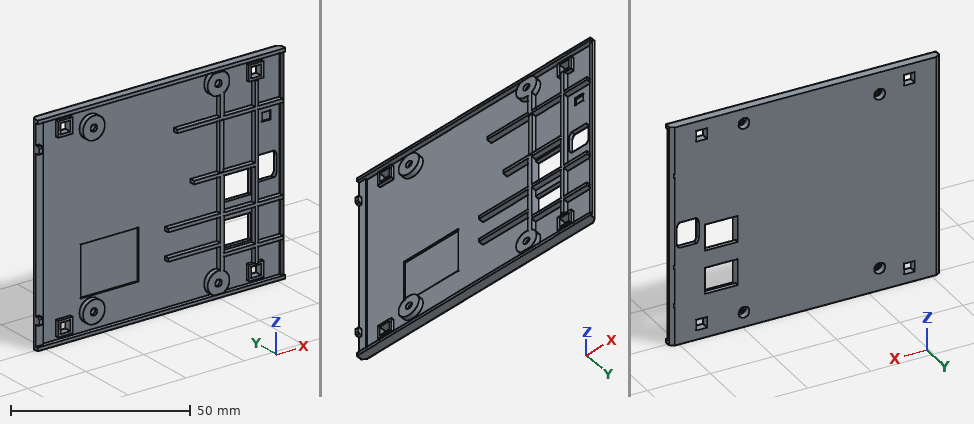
import cadquery as cq
import math

length = 85.5
width = 70.4
floor_height = 1.4
end_wall_height = 2.0
rim_height = 2.8
rib_height = 3.1
frame_height = 2.5
tab_height = 3.6

rim_width = 1.1
left_wall_width = 2.6
right_wall_width = 1.0
end_chamfer_length = 1.4
end_chamfer_depth = 0.85

boss_radius = 3.8
boss_hole_radius = 1.1
screw_head_radius = 1.7
screw_head_depth = 2.1
left_boss_x, left_boss_z = -23.5, 28.05
right_boss_x, right_boss_z = 19.5, 30.45
rim_clearance = 0.25

frame_x, frame_z = 32.9, 30.45
frame_size = 5.05
frame_hole_size = 3.4

thin_rib_width = 1.1
thick_rib_width = 1.4
low_rib_height = 2.7
thick_rib_x = 20.8
thin_rib_x = 32.7
top_rib_z = 19.5
middle_rib_z = 2.4

window_length = 10.35
window_height = 8.4
window_zs = (-3.0, -16.9)

port_x = 37.3
port_length = 7.0
port_height = 8.1
port_corner_radius = 2.1
port_corner_inset = 0.85

recess_depth = 0.6

tab_length = 1.1
tab_width = 2.6
tab_z = 26.1
tab_chamfer = 0.5

left_end = -length / 2
right_end = length / 2
right_wall_inside = right_end - right_wall_width
rim_inside = width / 2 - rim_width
window_x = thick_rib_x + (thick_rib_width + window_length) / 2


def block(x_min, x_max, z_min, z_max, height, base=0.0):
    """Box spanning the given X and Z ranges, rising from base to height toward -Y."""
    size = (x_max - x_min, height - base, z_max - z_min)
    return cq.Workplane("XY").box(*size, centered=False).translate((x_min, -height, z_min))


def centered_block(x, z, x_size, z_size, height, base=0.0):
    """Box centred on (x, z), rising from base to height toward -Y."""
    return block(x - x_size / 2, x + x_size / 2, z - z_size / 2, z + z_size / 2, height, base)


def cylinder(x, z, radius, height):
    """Round post on the back plane, rising to height toward -Y."""
    return cq.Workplane("XZ").center(x, z).circle(radius).extrude(height)


def make_tray():
    """Floor plate with raised edges and chamfered short back edges."""
    tray = centered_block(0, 0, length, width, floor_height)
    tray = tray.union(block(left_end, left_end + left_wall_width, -width / 2, width / 2, end_wall_height))
    tray = tray.union(block(right_wall_inside, right_end, -width / 2, width / 2, end_wall_height))
    for side in (-1, 1):
        rim_z = side * (width - rim_width) / 2
        tray = tray.union(centered_block(0, rim_z, length, rim_width, rim_height))
    for end in (-1, 1):
        edge_x = end * length / 2
        wedge = (
            cq.Workplane("XY")
            .moveTo(edge_x, 0)
            .lineTo(edge_x - end * end_chamfer_length, 0)
            .lineTo(edge_x, -end_chamfer_depth)
            .close()
            .extrude(width / 2, both=True)
        )
        tray = tray.cut(wedge)
    return tray


def make_ribs():
    """Grid of stiffening ribs on the right half of the floor."""
    ribs = centered_block(thick_rib_x, 0, thick_rib_width, 2 * right_boss_z, rib_height)
    low_stretch_z = (top_rib_z + middle_rib_z) / 2
    low_stretch_length = top_rib_z - middle_rib_z
    ribs = ribs.cut(centered_block(thick_rib_x, low_stretch_z, thick_rib_width, low_stretch_length,
                                   rib_height, low_rib_height))
    ribs = ribs.union(centered_block(thin_rib_x, 0, thin_rib_width, 2 * frame_z - frame_size, rib_height))
    thin_rib_end = thin_rib_x + thin_rib_width / 2
    long_ribs = (
        (5.2, right_wall_inside, top_rib_z),
        (11.0, thin_rib_end, middle_rib_z),
        (2.1, right_wall_inside, -9.9),
        (2.1, thick_rib_x, -18.9),
        (thick_rib_x, right_wall_inside, -22.3),
    )
    for start, end, z in long_ribs:
        ribs = ribs.union(block(start, end, z - thin_rib_width / 2, z + thin_rib_width / 2, rib_height))
    return ribs


def make_bosses():
    """Four round bosses, trimmed to stay clear of the rims above rim height."""
    bosses = cq.Workplane("XZ")
    for x, z in ((left_boss_x, left_boss_z), (right_boss_x, right_boss_z)):
        for side in (-1, 1):
            bosses = bosses.union(cylinder(x, side * z, boss_radius, rib_height))
    clear_width = 2 * (rim_inside - rim_clearance)
    return bosses.intersect(centered_block(0, 0, length, clear_width, rib_height))


def make_tab(z):
    """Catch on the left edge with its top and bottom tip edges chamfered."""
    tab = block(left_end, left_end + tab_length, z - tab_width / 2, z + tab_width / 2,
                tab_height, end_chamfer_depth)
    return tab.faces("<Y").edges("|X").chamfer(tab_chamfer)


def make_port():
    """Rectangular opening whose corners are arcs tangent to its long sides only."""
    x_side = port_length / 2
    z_end = port_height / 2
    arc_drop = math.sqrt(port_corner_radius**2 - (port_corner_radius - port_corner_inset) ** 2)
    outline = (
        cq.Workplane("XZ")
        .center(port_x, 0)
        .moveTo(x_side, arc_drop - z_end)
        .lineTo(x_side, z_end - arc_drop)
        .radiusArc((x_side - port_corner_inset, z_end), -port_corner_radius)
        .lineTo(port_corner_inset - x_side, z_end)
        .radiusArc((-x_side, z_end - arc_drop), -port_corner_radius)
        .lineTo(-x_side, arc_drop - z_end)
        .radiusArc((port_corner_inset - x_side, -z_end), -port_corner_radius)
        .lineTo(x_side - port_corner_inset, -z_end)
        .radiusArc((x_side, arc_drop - z_end), -port_corner_radius)
        .close()
    )
    return outline.extrude(floor_height)


def make_recess(x, z, x_size, z_size):
    """Shallow rectangular recess in the floor."""
    return centered_block(x, z, x_size, z_size, floor_height, floor_height - recess_depth)


result = make_tray().union(make_ribs()).union(make_bosses())
for side in (-1, 1):
    result = result.union(make_tab(side * tab_z))
    for end in (-1, 1):
        frame = centered_block(end * frame_x, side * frame_z, frame_size, frame_size, frame_height)
        result = result.union(frame)

for side in (-1, 1):
    for x, z in ((left_boss_x, left_boss_z), (right_boss_x, right_boss_z)):
        result = result.cut(cylinder(x, side * z, boss_hole_radius, rib_height))
        result = result.cut(cylinder(x, side * z, screw_head_radius, screw_head_depth))
    for end in (-1, 1):
        square = centered_block(end * frame_x, side * frame_z, frame_hole_size, frame_hole_size, rib_height)
        result = result.cut(square)
for z in window_zs:
    result = result.cut(centered_block(window_x, z, window_length, window_height, floor_height))
result = result.cut(make_port())

result = result.cut(make_recess(-16.85, -15.5, 19.9, 16.5))
result = result.cut(make_recess(port_x, 15.3, 3.1, 2.8))